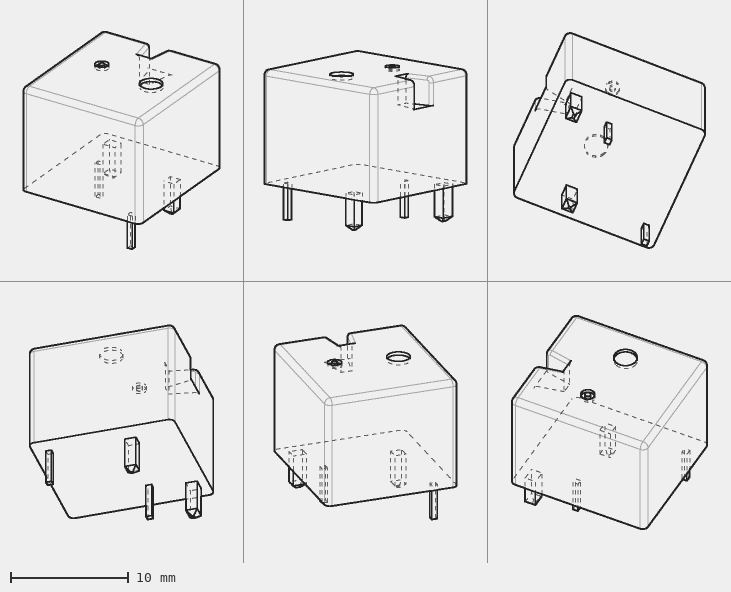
import cadquery as cq

body_x = 12.0
body_y = 12.91
body_z = 9.9
body_fillet = 0.5

notch_x = -0.25
notch_length = 2.5
notch_depth = 2.5
notch_inner_width = 1.02
notch_mouth_width = 2.0
notch_fillet = 0.3

dimple_x = 3.0
dimple_y = 0.0
dimple_diameter = 2.0
recess_depth = 0.3
vent_x = -2.5
vent_y = 0.8
vent_diameter = 1.2
vent_post_diameter = 0.5

pin_length = 3.2
tip_chamfer = 0.4
thin_pin_side = 0.5
wide_pin_depth = 1.0
wide_pins = [(-4.25, 5.1, 1.2), (3.75, 2.1, 1.0)]
thin_pins = [(-3.25, 1.5), (4.25, -5.1)]


def rounded_body():
    """Box with rounded vertical and top edges."""
    box = cq.Workplane("XY").box(body_x, body_y, body_z, centered=(True, True, False))
    notch = tapered_notch()
    return box.edges("|Z or >Z").fillet(body_fillet).cut(notch)


def tapered_notch():
    """Wedge that widens towards the +Y wall."""
    mouth_y = body_y / 2
    inner_y = mouth_y - notch_length
    mouth = notch_mouth_width / 2
    inner = notch_inner_width / 2
    return (
        cq.Workplane("XY", origin=(notch_x, 0, body_z - notch_depth))
        .polyline([(-mouth, mouth_y), (-inner, inner_y), (inner, inner_y), (mouth, mouth_y)])
        .close()
        .extrude(notch_depth)
    )


def round_notch_edges(body):
    """Round the edges where the two slanted notch walls meet the top and the +Y wall."""
    inner_y = body_y / 2 - notch_length
    half_mouth = notch_mouth_width / 2
    margin = 0.1
    rim_box = cq.selectors.BoxSelector(
        (notch_x - half_mouth - margin, inner_y + margin, body_z - notch_depth + margin),
        (notch_x + half_mouth + margin, body_y / 2 + margin, body_z + margin),
    )
    return body.edges(rim_box).fillet(notch_fillet)


def top_recess(x, y, diameter):
    """Shallow round pocket tool reaching down from the top face."""
    floor_z = body_z - recess_depth
    return cq.Workplane("XY", origin=(x, y, floor_z)).circle(diameter / 2).extrude(recess_depth)


def vent_groove():
    """Ring groove tool that leaves a round post, flush with the top face, at its centre."""
    post = top_recess(vent_x, vent_y, vent_post_diameter)
    return top_recess(vent_x, vent_y, vent_diameter).cut(post)


def thin_pin(x, y):
    """Square pin with a flat end."""
    return cq.Workplane("XY", origin=(x, y, 0)).rect(thin_pin_side, thin_pin_side).extrude(-pin_length)


def wide_pin(x, y, width):
    """Rectangular pin with its four end edges chamfered at 45 degrees."""
    pin = cq.Workplane("XY", origin=(x, y, 0)).rect(width, wide_pin_depth).extrude(-pin_length)
    return pin.faces("<Z").edges().chamfer(tip_chamfer)


result = round_notch_edges(rounded_body())
result = result.cut(top_recess(dimple_x, dimple_y, dimple_diameter))
result = result.cut(vent_groove())

for x, y, width in wide_pins:
    result = result.union(wide_pin(x, y, width))

for x, y in thin_pins:
    result = result.union(thin_pin(x, y))